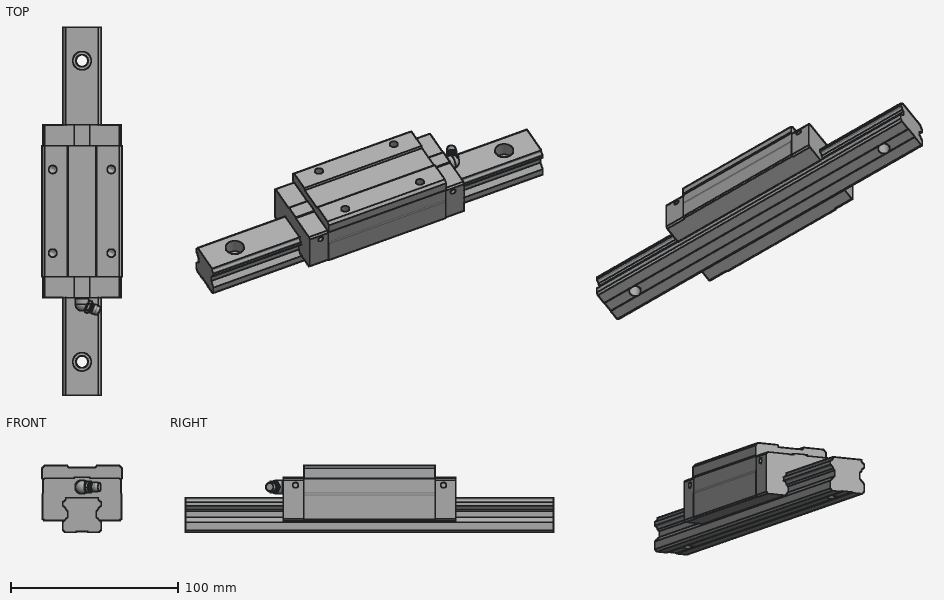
import cadquery as cq
import math


RAIL_LENGTH = 220.0
RAIL_WIDTH = 23.0
RAIL_HEIGHT = 20.7
RAIL_TOP_WIDTH = 19.4
RAIL_NECK_WIDTH = 17.2
RAIL_BASE_CHAMFER = 1.3
NECK_LOW_Z = 9.0
NECK_HIGH_Z = 12.5
RIDGE_LOW_Z = 15.8
RIDGE_HIGH_Z = 18.5
RIDGE_LIP = 0.5
RIDGE_EDGE_WIDTH = 21.5
GROOVE_TOP_Z = 20.0
GROOVE_SAG = 0.2
RELIEF_WIDTH = 6.8
RELIEF_DEPTH = 0.5
RAIL_HOLE_SPACING = 180.0
RAIL_HOLE_DIAMETER = 7.0
COUNTERBORE_DIAMETER = 11.0
COUNTERBORE_DEPTH = 9.0

CARRIAGE_LENGTH = 103.2
CARRIAGE_BASE_Z = 7.0
CAP_CHAMFER = 1.0
BLOCK_LENGTH = 78.3
BLOCK_WIDTH = 48.0
BLOCK_TOP_Z = 40.0
BLOCK_TOP_CHAMFER = 1.8
BLOCK_BASE_CHAMFER = 0.9
FLANK_WIDTH = 47.3
SHOULDER_Z = 32.3
SHOULDER_DROP = 0.5
LEDGE_Z = 23.5
LEDGE_DROP = 1.0
LEDGE_STEP = 0.2
CHANNEL_WIDTH = 17.5
CHANNEL_DEPTH = 1.3
CHANNEL_DRAFT = 0.7
CAP_WIDTH = 46.6
CAP_TOP_Z = 32.3
PAD_WIDTH = 9.0
PAD_HEIGHT = 0.7
PAD_SLOPE = 0.2
MOUNT_SPACING_X = 35.0
MOUNT_SPACING_Y = 50.0
MOUNT_DIAMETER = 4.8
MOUNT_DEPTH = 8.0
DRILL_POINT_ANGLE = 118.0
SIDE_HOLE_DIAMETER = 3.3
SIDE_HOLE_DEPTH = 3.3
SIDE_HOLE_SPACING = 88.5
SIDE_HOLE_Z = 28.2

NIPPLE_Z = 27.0
BASE_DIAMETER = 8.4
BALL_DIAMETER = 8.0
BASE_NECK_LENGTH = 0.7
NIPPLE_BASE_LENGTH = 4.0
STEM_TILT = 22.0
HEX_START = 3.3
HEX_END = 5.0
WASHER_END = 6.2
NECK_END = 7.0
COLLAR_END = 8.8
TIP_END = 11.2
HEX_ACROSS_FLATS = 6.5
NECK_DIAMETER = 4.8
COLLAR_DIAMETER = 6.0
TIP_DIAMETER = 4.8


def mirrored(right_side):
    """Complete a symmetric profile from its right-hand points, listed from bottom to top."""
    left_side = [(-x, z) for x, z in reversed(right_side)]
    return right_side + left_side


def bar(points, length):
    """Extrude an XZ profile along Y, centred on the origin."""
    return cq.Workplane("XZ").polyline(points).close().extrude(length / 2, both=True)



def rail_bar():
    half = RAIL_WIDTH / 2
    neck = RAIL_NECK_WIDTH / 2
    top = RAIL_TOP_WIDTH / 2
    ridge = RIDGE_EDGE_WIDTH / 2
    lower_groove = (top, NECK_HIGH_Z + top - neck), (ridge, RIDGE_LOW_Z - RIDGE_LIP)
    upper_groove = (ridge, RIDGE_HIGH_Z), (top, GROOVE_TOP_Z)
    outline = mirrored([
        (half - RAIL_BASE_CHAMFER, 0),
        (half, RAIL_BASE_CHAMFER),
        (half, NECK_LOW_Z - (half - neck)),
        (neck, NECK_LOW_Z),
        (neck, NECK_HIGH_Z),
        *lower_groove,
        (half, RIDGE_LOW_Z),
        (half, RIDGE_HIGH_Z - RIDGE_LIP),
        *upper_groove,
        (top, RAIL_HEIGHT),
    ])
    groove_ends = (lower_groove, upper_groove)
    concave_spans = [*groove_ends, *(mirror_span(span) for span in groove_ends)]

    sketch = cq.Workplane("XZ").moveTo(*outline[0])
    for start, end in zip(outline, outline[1:]):
        if (start, end) in concave_spans:
            sketch = sketch.threePointArc(concave_middle(start, end), end)
        else:
            sketch = sketch.lineTo(*end)
    return sketch.close().extrude(RAIL_LENGTH / 2, both=True)


def mirror_span(span):
    """The same span on the rail's left side, in outline order."""
    (x0, z0), (x1, z1) = span
    return (-x1, z1), (-x0, z0)


def concave_middle(start, end):
    """Middle of a span, moved into the rail by the ball groove's depth."""
    dx, dz = end[0] - start[0], end[1] - start[1]
    scale = GROOVE_SAG / math.hypot(dx, dz)
    return (start[0] + end[0]) / 2 - dz * scale, (start[1] + end[1]) / 2 + dx * scale


def make_rail():
    relief = cq.Workplane("XY").box(RELIEF_WIDTH, RAIL_LENGTH, 2 * RELIEF_DEPTH)
    return (
        rail_bar()
        .cut(relief)
        .faces(">Z")
        .workplane(origin=(0, 0, RAIL_HEIGHT))
        .rarray(2.2, RAIL_HOLE_SPACING, 1, 2)
        .cboreHole(RAIL_HOLE_DIAMETER, COUNTERBORE_DIAMETER, COUNTERBORE_DEPTH)
    )



def block():
    half = BLOCK_WIDTH / 2
    flank = FLANK_WIDTH / 2
    channel = CHANNEL_WIDTH / 2
    right_side = [
        (flank - BLOCK_BASE_CHAMFER, CARRIAGE_BASE_Z),
        (flank, CARRIAGE_BASE_Z + BLOCK_BASE_CHAMFER),
        (flank, LEDGE_Z - LEDGE_DROP),
        (flank - LEDGE_STEP, LEDGE_Z),
        (flank - LEDGE_STEP, SHOULDER_Z - SHOULDER_DROP),
        (half, SHOULDER_Z),
        (half, BLOCK_TOP_Z - BLOCK_TOP_CHAMFER),
        (half - BLOCK_TOP_CHAMFER, BLOCK_TOP_Z),
        (channel, BLOCK_TOP_Z),
        (channel - CHANNEL_DRAFT, BLOCK_TOP_Z - CHANNEL_DEPTH),
    ]
    return bar(mirrored(right_side), BLOCK_LENGTH)


def end_caps():
    """Both end caps: a bar as long as the carriage, less the block's length."""
    half = CAP_WIDTH / 2
    pad = PAD_WIDTH / 2
    right_side = [
        (half - CAP_CHAMFER, CARRIAGE_BASE_Z),
        (half, CARRIAGE_BASE_Z + CAP_CHAMFER),
        (half, CAP_TOP_Z - CAP_CHAMFER),
        (half - CAP_CHAMFER, CAP_TOP_Z),
        (pad + PAD_SLOPE, CAP_TOP_Z),
        (pad, CAP_TOP_Z + PAD_HEIGHT),
    ]
    full = bar(mirrored(right_side), CARRIAGE_LENGTH)
    middle = cq.Workplane("XY").box(2 * BLOCK_WIDTH, BLOCK_LENGTH, 2 * BLOCK_TOP_Z)
    return full.cut(middle)


def mount_holes():
    """Blind holes with drilled conical ends, opening on the block's top."""
    radius = MOUNT_DIAMETER / 2
    point = radius / math.tan(math.radians(DRILL_POINT_ANGLE / 2))
    drill = (
        cq.Workplane("XZ")
        .polyline([(0, 0), (radius, 0), (radius, -MOUNT_DEPTH), (0, -MOUNT_DEPTH - point)])
        .close()
        .revolve(360, (0, 0, 0), (0, 1, 0))
        .val()
    )
    return (
        cq.Workplane("XY", origin=(0, 0, BLOCK_TOP_Z))
        .rarray(MOUNT_SPACING_X, MOUNT_SPACING_Y, 2, 2)
        .eachpoint(drill, True)
    )


def side_holes():
    """Blind holes in both sides of each end cap."""
    through = (
        cq.Workplane("YZ", origin=(0, 0, SIDE_HOLE_Z))
        .rarray(SIDE_HOLE_SPACING, 2.2, 2, 1)
        .circle(SIDE_HOLE_DIAMETER / 2)
        .extrude(CAP_WIDTH, both=True)
    )
    core = cq.Workplane("XY").box(
        CAP_WIDTH - 2 * SIDE_HOLE_DEPTH, CARRIAGE_LENGTH, 2 * BLOCK_TOP_Z
    )
    return through.cut(core)


def make_carriage():
    return block().union(end_caps()).cut(rail_bar()).cut(mount_holes()).cut(side_holes())



def make_nipple():
    face_y = -CARRIAGE_LENGTH / 2
    ball_radius = BALL_DIAMETER / 2
    ball_centre = cq.Vector(0, face_y - NIPPLE_BASE_LENGTH, NIPPLE_Z)
    base = (
        cq.Workplane("XZ", origin=(0, face_y, NIPPLE_Z))
        .circle(ball_radius)
        .extrude(BASE_NECK_LENGTH)
        .faces("<Y")
        .workplane()
        .circle(BASE_DIAMETER / 2)
        .extrude(NIPPLE_BASE_LENGTH - BASE_NECK_LENGTH)
    )
    ball = cq.Workplane("XY", origin=ball_centre.toTuple()).sphere(ball_radius)

    tilt = math.radians(STEM_TILT)
    stem_plane = cq.Plane(
        origin=ball_centre,
        xDir=(math.sin(tilt), math.cos(tilt), 0),
        normal=(math.cos(tilt), -math.sin(tilt), 0),
    )
    stem_outline = [
        (0, 0),
        (COLLAR_DIAMETER / 2, 0),
        (COLLAR_DIAMETER / 2, WASHER_END),
        (NECK_DIAMETER / 2, WASHER_END),
        (NECK_DIAMETER / 2, NECK_END),
        (COLLAR_DIAMETER / 2, NECK_END),
        (COLLAR_DIAMETER / 2, COLLAR_END),
        (TIP_DIAMETER / 2, TIP_END),
        (0, TIP_END),
    ]
    turned = cq.Workplane("XZ").polyline(stem_outline).close().revolve(360, (0, 0, 0), (0, 1, 0))
    stem = cq.Workplane(turned.val().moved(cq.Location(stem_plane)))
    corner_diameter = HEX_ACROSS_FLATS / math.cos(math.pi / 6)
    hexagon = (
        cq.Workplane(stem_plane)
        .workplane(offset=HEX_START)
        .polygon(6, corner_diameter)
        .extrude(HEX_END - HEX_START)
    )
    return base.union(ball).union(stem).union(hexagon)


rail = make_rail()
carriage = make_carriage()
nipple = make_nipple()

result = cq.Compound.makeCompound([rail.val(), carriage.val(), nipple.val()])